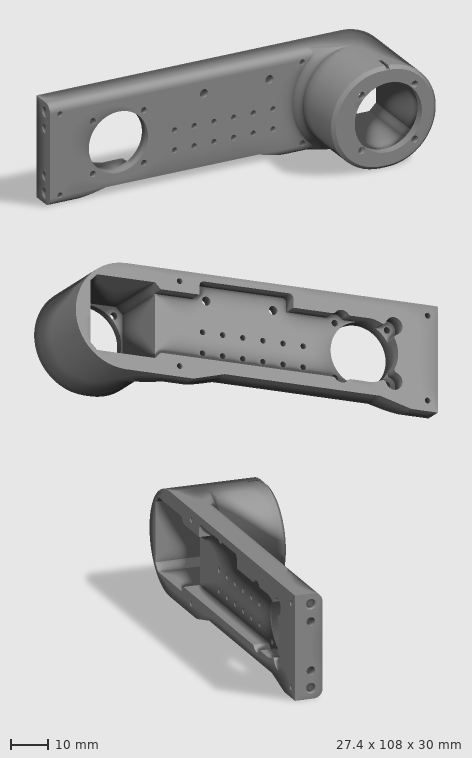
import cadquery as cq
import math

total_length = 108.0
head_radius = 15.0
arm_thickness = 8.0
head_height = 27.4
arm_end_y = head_radius - total_length
edge_round = 2.5

waist_depth = 2.5
waist_start_y = -20.1
waist_end_y = -85.1
waist_slope = 15.0

boss_stretch = 1.9
boss_chamfer = 1.0
flare_top_x = 10.0
flare_base_x = 5.5
flare_base_radius = head_radius + flare_top_x - flare_base_x

groove_length = 5.0
groove_width = 1.0
groove_depth = 1.0

head_wall = 2.5
cavity_side = 21.4
cavity_chamfer = 2.0
head_bore_diameter = 20.5
head_screw_diameter = 2.0
head_screw_offset = 8.1

pocket_depth = 4.5
pocket_half_height = 9.0
recess_top_z = 12.9
recess_start_y = -21.9
recess_end_y = -49.9
recess_corner_radius = 1.3

motor_y = -72.1
motor_bore_diameter = 18.0
motor_screw_offset = 7.8
motor_screw_diameter = 1.8
motor_relief_diameter = 5.0
motor_relief_blend = 1.0

cover_hole_diameter = 1.6
cover_hole_ys = (-16.0, -90.0)
cover_hole_z = 12.0
recess_hole_diameter = 2.5
recess_hole_ys = (-26.0, -46.0)
grid_hole_diameter = 1.6
grid_start_y = -25.0
grid_span = 30.0
grid_columns = 6
grid_row_zs = (0, -5.9)

end_hole_x = 4.6
end_outer_depth = 1.3
end_inner_depth = 5.0
end_outer_z = 12.0
end_inner_z = 7.0
end_hole_diameter = 2.5
end_countersink_diameter = 3.0


def slab(outline, start_x, end_x):
    """Extrude an outline drawn in the YZ plane between two X positions."""
    return outline.extrude(end_x - start_x).translate((start_x, 0, 0))


def yz_box(y_low, y_high, z_low, z_high, start_x, end_x):
    size_y = y_high - y_low
    size_z = z_high - z_low
    outline = cq.Workplane("YZ").center(y_low + size_y / 2, z_low + size_z / 2).rect(size_y, size_z)
    return slab(outline, start_x, end_x)


def x_cylinders(points, diameter, start_x, end_x):
    outline = cq.Workplane("YZ").pushPoints(points).circle(diameter / 2)
    return slab(outline, start_x, end_x)


def plain_arm(end_x):
    outline = (
        cq.Workplane("YZ")
        .moveTo(0, head_radius)
        .lineTo(arm_end_y, head_radius)
        .lineTo(arm_end_y, -head_radius)
        .lineTo(0, -head_radius)
        .threePointArc((head_radius, 0), (0, head_radius))
        .close()
    )
    return slab(outline, 0, end_x)


def waist():
    run = waist_depth / math.tan(math.radians(waist_slope))
    waist_z = -head_radius + waist_depth
    outline = cq.Workplane("YZ").polyline([
        (waist_start_y, -head_radius),
        (waist_start_y - run, waist_z),
        (waist_end_y + run, waist_z),
        (waist_end_y, -head_radius),
    ]).close()
    return slab(outline, 0, arm_thickness)


def arm():
    body = plain_arm(arm_thickness).edges(">X and |Y").fillet(edge_round)
    return body.cut(waist())


def boss():
    outline = (
        cq.Workplane("YZ")
        .center(-boss_stretch / 2, 0)
        .slot2D(2 * head_radius + boss_stretch, 2 * head_radius)
    )
    body = slab(outline, 0, head_height)
    return body.faces(">X").chamfer(boss_chamfer)


def flare():
    cone = (
        cq.Workplane("XY")
        .moveTo(flare_base_x, 0)
        .lineTo(flare_base_x, flare_base_radius)
        .lineTo(flare_top_x, head_radius)
        .lineTo(flare_top_x, 0)
        .close()
        .revolve(360, (0, 0, 0), (1, 0, 0))
        .translate((0, -boss_stretch, 0))
    )
    return cone.intersect(plain_arm(head_height))


def index_groove():
    return cq.Workplane("XY").box(groove_length, groove_width, groove_depth).translate(
        (head_height - groove_length / 2, 0, head_radius - groove_depth / 2)
    )


def corners(center_y, offset):
    return [(center_y + sy * offset, sz * offset) for sy in (-1, 1) for sz in (-1, 1)]


def head_cavity():
    half = cavity_side / 2
    cavity = yz_box(-half, half, -half, half, 0, head_height - head_wall)
    cavity = cavity.edges("|X").chamfer(cavity_chamfer)
    bore = x_cylinders([(0, 0)], head_bore_diameter, 0, head_height)
    screws = x_cylinders(corners(0, head_screw_offset), head_screw_diameter, 0, head_height)
    return cavity.union(bore).union(screws)


def arm_pocket():
    """Pocket, upper recess and motor reliefs; the corners where the reliefs break out are rounded."""
    main = yz_box(motor_y, 0, -pocket_half_height, pocket_half_height, 0, pocket_depth)
    recess = yz_box(recess_end_y, recess_start_y, 0, recess_top_z, 0, pocket_depth)
    recess = recess.edges("|X and >Z").fillet(recess_corner_radius)
    bore = x_cylinders([(motor_y, 0)], motor_bore_diameter, 0, pocket_depth)
    reliefs = x_cylinders(corners(motor_y, motor_screw_offset), motor_relief_diameter, 0, pocket_depth)
    relief_radius = motor_relief_diameter / 2
    near = motor_screw_offset - relief_radius
    far = motor_screw_offset + relief_radius

    pocket = main.union(recess).union(bore).union(reliefs)
    for side in (-1, 1):
        breakout_zone = cq.selectors.BoxSelector(
            (0, motor_y + side * near, -far), (pocket_depth, motor_y + side * far, far)
        )
        pocket = pocket.edges("|X").edges(breakout_zone).fillet(motor_relief_blend)
    return pocket


def motor_seat():
    bore = x_cylinders([(motor_y, 0)], motor_bore_diameter, 0, arm_thickness)
    screws = x_cylinders(corners(motor_y, motor_screw_offset), motor_screw_diameter, 0, arm_thickness)
    return bore.union(screws)


def small_holes():
    cover_points = [(y, side * cover_hole_z) for y in cover_hole_ys for side in (-1, 1)]
    recess_points = [(y, pocket_half_height) for y in recess_hole_ys]
    pitch = grid_span / (grid_columns - 1)
    grid_points = [(grid_start_y - i * pitch, z) for i in range(grid_columns) for z in grid_row_zs]
    holes = x_cylinders(cover_points, cover_hole_diameter, 0, flare_top_x)
    holes = holes.union(x_cylinders(recess_points, recess_hole_diameter, 0, arm_thickness))
    return holes.union(x_cylinders(grid_points, grid_hole_diameter, 0, arm_thickness))


def end_holes():
    """Two pairs of blind holes in the end face; the outer pair is shallow and countersunk."""
    end_face = cq.Workplane("XZ", origin=(0, arm_end_y, 0))
    outer_points = [(end_hole_x, side * end_outer_z) for side in (-1, 1)]
    inner_points = [(end_hole_x, side * end_inner_z) for side in (-1, 1)]
    hole_radius = end_hole_diameter / 2
    countersink_radius = end_countersink_diameter / 2
    outer = end_face.pushPoints(outer_points).circle(hole_radius).extrude(-end_outer_depth)
    inner = end_face.pushPoints(inner_points).circle(hole_radius).extrude(-end_inner_depth)
    countersinks = end_face.pushPoints(outer_points).circle(countersink_radius)
    countersinks = countersinks.extrude(hole_radius - countersink_radius, taper=45)
    return outer.union(inner).union(countersinks)


result = (
    arm()
    .union(boss())
    .union(flare())
    .cut(index_groove())
    .cut(head_cavity())
    .cut(arm_pocket())
    .cut(motor_seat())
    .cut(small_holes())
    .cut(end_holes())
)